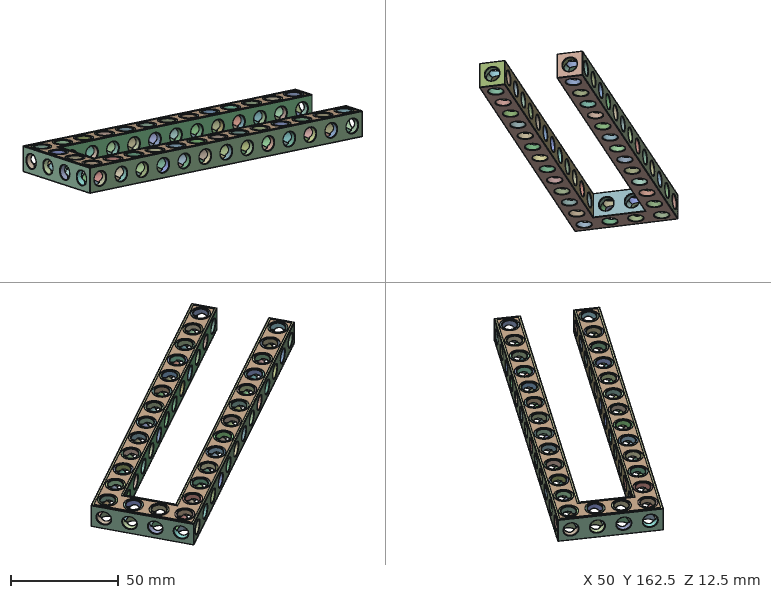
import cadquery as cq

LENGTH = 162.5
CELLS_LONG = 13
CELLS_WIDE = 4
HOLE_DIAMETER = 7.0
COLLAR_DIAMETER = 9.3
RIM_WIDTH = 1.1
RECESS_DEPTH = 0.2
CHAMFER = 0.3

PITCH = LENGTH / CELLS_LONG
WIDTH = CELLS_WIDE * PITCH
HALF_PITCH = PITCH / 2
HOLE_RADIUS = HOLE_DIAMETER / 2


def cell_centers(count):
    """Centres of a row of grid cells, with the row centred on the origin."""
    return [(i - (count - 1) / 2) * PITCH for i in range(count)]


def u_prism(inset, bottom, height):
    """U-shaped prism, open toward +Y, with its outline moved inward by inset."""
    outer_x = WIDTH / 2 - inset
    inner_x = WIDTH / 2 - PITCH + inset
    end_y = LENGTH / 2 - inset
    base_y = -LENGTH / 2 + inset
    inner_y = -LENGTH / 2 + PITCH - inset
    outline = [
        (-outer_x, base_y),
        (outer_x, base_y),
        (outer_x, end_y),
        (inner_x, end_y),
        (inner_x, inner_y),
        (-inner_x, inner_y),
        (-inner_x, end_y),
        (-outer_x, end_y),
    ]
    return cq.Workplane("XY").workplane(offset=bottom).polyline(outline).close().extrude(height)


def is_upright_at(edge, points):
    """True for an edge centred at mid-height above one of the (x, y) points."""
    center = edge.Center()
    return any(center.sub(cq.Vector(x, y, 0)).Length < CHAMFER for x, y in points)


def hole_cutter(length):
    """Round cutter along Z, centred on the origin and flared at both ends by the mouth chamfer."""
    mouth_radius = HOLE_RADIUS + CHAMFER
    mouth_z = length / 2
    neck_z = mouth_z - CHAMFER
    profile = [
        (0, -mouth_z),
        (mouth_radius, -mouth_z),
        (HOLE_RADIUS, -neck_z),
        (HOLE_RADIUS, neck_z),
        (mouth_radius, mouth_z),
        (0, mouth_z),
    ]
    return cq.Workplane("XZ").polyline(profile).close().revolve(360, (0, 0, 0), (0, 1, 0))


def along_x(cutter):
    """Turn a cutter from Z to X."""
    return cutter.rotate((0, 0, 0), (0, 1, 0), 90)


def along_y(cutter):
    """Turn a cutter from Z to Y."""
    return cutter.rotate((0, 0, 0), (1, 0, 0), 90)


def drill(solid, cutter, centers):
    """Cut the same hole at each (x, y) centre."""
    for x, y in centers:
        solid = solid.cut(cutter.translate((x, y, 0)))
    return solid


columns = cell_centers(CELLS_WIDE)
rows = cell_centers(CELLS_LONG)
left_x, right_x = columns[0], columns[-1]
base_y = rows[0]
free_arm_cells = [(x, y) for x in (left_x, right_x) for y in rows[1:]]
inner_base_cells = [(x, base_y) for x in columns[1:-1]]
corner_cells = [(left_x, base_y), (right_x, base_y)]
all_cells = free_arm_cells + inner_base_cells + corner_cells

beam = u_prism(0, -HALF_PITCH, PITCH)
inside_corners = [(left_x + HALF_PITCH, base_y + HALF_PITCH), (right_x - HALF_PITCH, base_y + HALF_PITCH)]
body = beam.edges().filter(lambda edge: not is_upright_at(edge, inside_corners)).chamfer(CHAMFER)

recess_floor = HALF_PITCH - RECESS_DEPTH
collars = (
    cq.Workplane("XY")
    .workplane(offset=recess_floor)
    .pushPoints(all_cells)
    .circle(COLLAR_DIAMETER / 2)
    .extrude(RECESS_DEPTH)
)
body = body.cut(u_prism(RIM_WIDTH, recess_floor, RECESS_DEPTH).cut(collars))

body = drill(body, hole_cutter(PITCH), all_cells)

body = drill(body, along_x(hole_cutter(PITCH)), free_arm_cells)
body = drill(body, along_x(hole_cutter(WIDTH)), [(0, base_y)])

body = drill(body, along_y(hole_cutter(PITCH)), inner_base_cells)
body = drill(body, along_y(hole_cutter(LENGTH)), [(left_x, 0), (right_x, 0)])

result = body